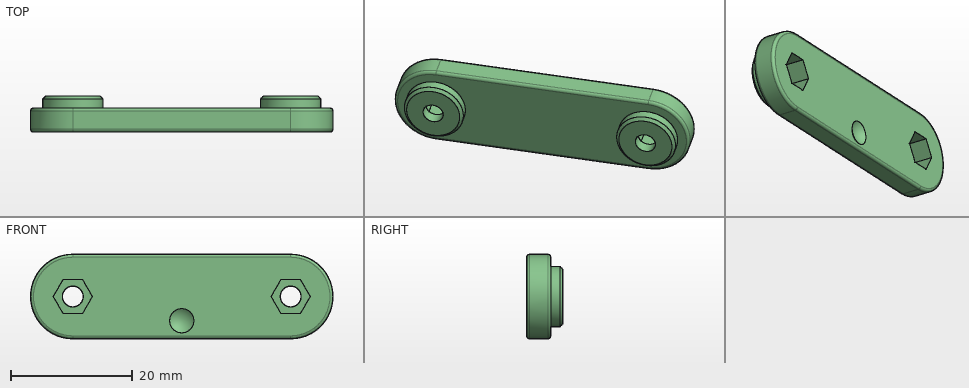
import cadquery as cq
import math

plate_width = 14.0
hole_spacing = 36.0
plate_length = hole_spacing + plate_width
plate_thickness = 4.0
edge_radius = 0.5

boss_diameter = 10.0
boss_height = 2.0
boss_chamfer = 0.5

hole_diameter = 3.4
nut_across_flats = 5.6
nut_across_corners = nut_across_flats / math.cos(math.pi / 6)
nut_pocket_depth = 4.0

dimple_diameter = 4.0
dimple_drop = 4.0
dimple_depth = 0.8

hole_centres = [(-hole_spacing / 2, 0), (hole_spacing / 2, 0)]


def front_sketch(depth=0.0):
    """Sketch plane facing +Y (local x = X, local y = -Z) at the given depth behind the front face."""
    return cq.Workplane(cq.Plane(origin=(0, depth, 0), xDir=(1, 0, 0), normal=(0, 1, 0)))


def make_plate():
    plate = front_sketch().slot2D(plate_length, plate_width).extrude(plate_thickness)
    return plate.faces("<Y or >Y").edges().fillet(edge_radius)


def make_bosses():
    bosses = (
        front_sketch(plate_thickness)
        .pushPoints(hole_centres)
        .circle(boss_diameter / 2)
        .extrude(boss_height)
    )
    return bosses.faces(">Y").edges().chamfer(boss_chamfer)


def make_bolt_holes():
    return (
        front_sketch()
        .pushPoints(hole_centres)
        .circle(hole_diameter / 2)
        .extrude(plate_thickness + boss_height)
    )


def make_nut_pockets():
    return (
        front_sketch()
        .pushPoints(hole_centres)
        .polygon(6, nut_across_corners)
        .extrude(nut_pocket_depth)
    )


def make_dimple():
    sphere_radius = ((dimple_diameter / 2) ** 2 + dimple_depth ** 2) / (2 * dimple_depth)
    sphere_centre = (0, dimple_depth - sphere_radius, -dimple_drop)
    return front_sketch().sphere(sphere_radius).translate(sphere_centre)


result = (
    make_plate()
    .union(make_bosses())
    .cut(make_bolt_holes())
    .cut(make_nut_pockets())
    .cut(make_dimple())
)